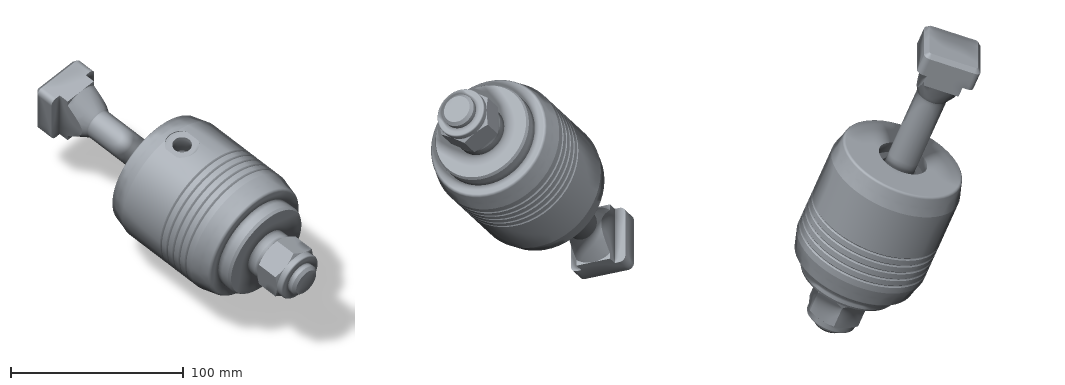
import cadquery as cq
import math


bolt_length = 204.0
head_width = 35.0
head_thickness = 14.0
head_corner_radius = 3.7
head_chamfer = 2.5
neck_width = 21.5
neck_end = 20.5
cone_half_angle = 30.0
shank_diameter = 18.4
thread_diameter = 20.0
thread_length = 55.0
thread_chamfer = 1.8

housing_start = 82.0
housing_length = 80.0
housing_radius = 40.0
taper_length = 12.0
taper_angle = 15.0
housing_edge_fillet = 1.6
front_recess_depth = 7.0
front_recess_diameter = 30.0
bolt_clearance_diameter = 21.0

groove_count = 5
groove_pitch = 5.0
groove_width = 1.6
groove_depth = groove_width / 2
first_groove_offset = 43.1

port_offset = 21.0
port_diameter = 11.4
port_depth = 12.0
port_seat_diameter = 20.0
port_seat_depth = 1.0

piston_diameter = 60.0
piston_protrusion = 9.5
piston_chamfer_length = 1.7
piston_chamfer_height = 1.0
collar_diameter = 30.0
collar_length = 7.5
collar_chamfer_length = 2.0
collar_chamfer_height = 0.5

hex_across_flats = 30.0
hex_length = 16.0
hex_chamfer_angle = 30.0
rim_length = 4.0
rim_fillet = 0.8

housing_end = housing_start + housing_length
port_x = housing_start + port_offset
piston_front = port_x + port_seat_diameter / 2
piston_shoulder = housing_end + piston_protrusion
piston_end = piston_shoulder + collar_length
nut_hex_end = piston_end + hex_length


def rod(start, end, diameter):
    """Round bar along X."""
    return cq.Workplane("YZ", origin=(start, 0, 0)).circle(diameter / 2).extrude(end - start)


def turned(profile):
    """Solid turned about X from a list of (x, radius) points."""
    return cq.Workplane("XY").polyline(profile).close().revolve(360, (0, 0, 0), (1, 0, 0))


def make_bolt():
    head = cq.Workplane("YZ").rect(head_width, head_width).extrude(head_thickness)
    head = head.edges("|X").fillet(head_corner_radius)
    head = head.faces("<X").chamfer(head_chamfer)

    neck_length = neck_end - head_thickness
    neck = cq.Workplane("YZ", origin=(head_thickness, 0, 0)).rect(neck_width, head_width).extrude(neck_length)

    large_radius = head_width / 2
    shank_radius = shank_diameter / 2
    cone_length = (large_radius - shank_radius) / math.tan(math.radians(cone_half_angle))
    cone_end = neck_end + cone_length
    cone = turned([(neck_end, 0), (neck_end, large_radius), (cone_end, shank_radius), (cone_end, 0)])
    slab = cq.Workplane("YZ", origin=(neck_end, 0, 0)).rect(neck_width, head_width).extrude(cone_length)
    cone = cone.intersect(slab)

    thread_start = bolt_length - thread_length
    shank = rod(cone_end, thread_start, shank_diameter)
    thread = rod(thread_start, bolt_length, thread_diameter).faces(">X").chamfer(thread_chamfer)
    return head.union(neck).union(cone).union(shank).union(thread)


def make_housing():
    end_radius = housing_radius - taper_length * math.tan(math.radians(taper_angle))
    body = turned([
        (housing_start, 0),
        (housing_start, end_radius),
        (housing_start + taper_length, housing_radius),
        (housing_end - taper_length, housing_radius),
        (housing_end, end_radius),
        (housing_end, 0),
    ])
    body = body.faces("<X or >X").edges().fillet(housing_edge_fillet)

    for index in range(groove_count):
        groove_middle = housing_start + first_groove_offset + index * groove_pitch
        body = body.cut(turned([
            (groove_middle - groove_width / 2, housing_radius),
            (groove_middle, housing_radius - groove_depth),
            (groove_middle + groove_width / 2, housing_radius),
        ]))

    recess_end = housing_start + front_recess_depth
    body = body.cut(rod(housing_start, recess_end, front_recess_diameter))
    body = body.cut(rod(recess_end, piston_front, bolt_clearance_diameter))
    body = body.cut(rod(piston_front, housing_end, piston_diameter))

    seat_height = housing_radius - port_seat_depth
    seat_plane = cq.Workplane("XY", origin=(port_x, 0, seat_height))
    seat = seat_plane.circle(port_seat_diameter / 2).extrude(port_seat_depth)
    port = seat_plane.circle(port_diameter / 2).extrude(-port_depth)
    return body.cut(seat).cut(port)


def make_piston():
    bore_radius = bolt_clearance_diameter / 2
    piston_radius = piston_diameter / 2
    collar_radius = collar_diameter / 2
    return turned([
        (piston_front, bore_radius),
        (piston_front, piston_radius),
        (piston_shoulder - piston_chamfer_length, piston_radius),
        (piston_shoulder, piston_radius - piston_chamfer_height),
        (piston_shoulder, collar_radius),
        (piston_end - collar_chamfer_length, collar_radius),
        (piston_end, collar_radius - collar_chamfer_height),
        (piston_end, bore_radius),
    ])


def make_nut():
    flat_radius = hex_across_flats / 2
    corner_radius = flat_radius / math.cos(math.pi / 6)
    hexagon = cq.Workplane("YZ", origin=(piston_end, 0, 0)).transformed(rotate=(0, 0, 90))
    hexagon = hexagon.polygon(6, 2 * corner_radius).extrude(hex_length)

    chamfer_length = (corner_radius - flat_radius) * math.tan(math.radians(hex_chamfer_angle))
    chamfer_envelope = turned([
        (piston_end, 0),
        (piston_end, flat_radius),
        (piston_end + chamfer_length, corner_radius),
        (nut_hex_end - chamfer_length, corner_radius),
        (nut_hex_end, flat_radius),
        (nut_hex_end, 0),
    ])
    rim_end = nut_hex_end + rim_length
    rim = rod(nut_hex_end, rim_end, hex_across_flats).faces(">X").edges().fillet(rim_fillet)
    return hexagon.intersect(chamfer_envelope).union(rim).cut(rod(piston_end, rim_end, thread_diameter))


bolt = make_bolt()
housing = make_housing()
piston = make_piston()
nut = make_nut()

result = cq.Compound.makeCompound([bolt.val(), housing.val(), piston.val(), nut.val()])